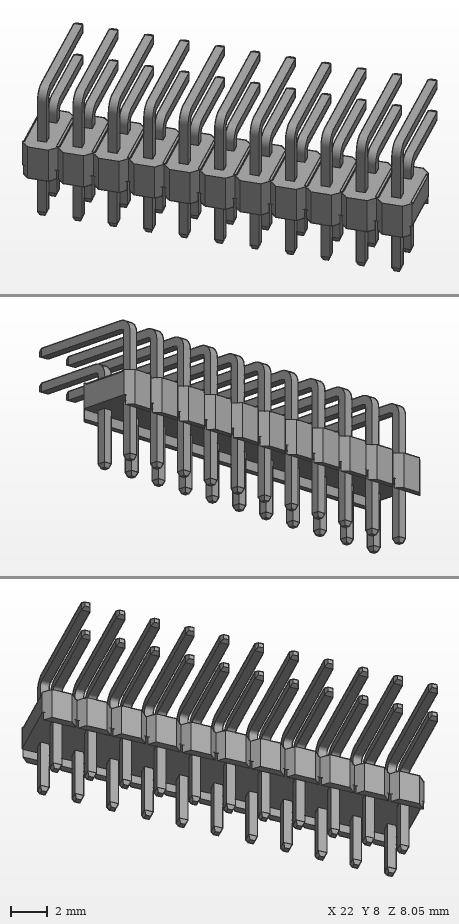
import cadquery as cq

column_count = 11
housing_length = 22.0
pitch = housing_length / column_count

housing_width = 2 * pitch
housing_height = pitch
corner_cut = 0.42
foot_width = 0.35
foot_height = 0.55

groove_depth = 0.1
groove_length = 3.0

pin_side = 0.5
bend_inner_radius = 0.25
tip_length = 0.26
tip_inset = 0.1
tail_length = 2.8
pin_reach = 2 * pitch
long_pin_rise = 3.25
short_pin_rise = long_pin_rise - pitch

pin_tip_y = housing_width / 2 + pin_reach
column_positions = [(i - (column_count - 1) / 2) * pitch for i in range(column_count)]
boundary_positions = [(i - column_count / 2) * pitch for i in range(column_count + 1)]


def make_housing():
    """Octagonal cells side by side, hollowed underneath so only the outer feet reach z = 0."""
    edge_x = housing_length / 2
    edge_y = housing_width / 2
    side = [(-edge_x, edge_y - corner_cut)]
    for x in column_positions:
        side.append((x - pitch / 2 + corner_cut, edge_y))
        side.append((x + pitch / 2 - corner_cut, edge_y))
        side.append((x + pitch / 2, edge_y - corner_cut))
    opposite_side = [(-x, -y) for x, y in side]
    cells = cq.Workplane("XY").polyline(side + opposite_side).close().extrude(housing_height)

    channel_width = housing_width - 2 * foot_width
    channel = cq.Workplane("XY").box(
        housing_length, channel_width, foot_height, centered=(True, True, False)
    )
    return cells.cut(channel)


def make_groove(x):
    """V-shaped cutter with sloped ends, running along Y at the given x."""
    floor = housing_height - groove_depth
    half_length = groove_length / 2
    vee = (
        cq.Workplane("XZ")
        .polyline([
            (x - groove_depth, housing_height),
            (x + groove_depth, housing_height),
            (x, floor),
        ])
        .close()
        .extrude(half_length, both=True)
    )
    end_slopes = (
        cq.Workplane("YZ", origin=(x, 0, 0))
        .polyline([
            (-half_length, housing_height),
            (half_length, housing_height),
            (half_length - groove_depth, floor),
            (groove_depth - half_length, floor),
        ])
        .close()
        .extrude(groove_depth, both=True)
    )
    return vee.intersect(end_slopes)


def make_tip(plane):
    """Tapered pin end, growing from the given plane along its normal."""
    end_side = pin_side - 2 * tip_inset
    return (
        cq.Workplane(plane)
        .rect(pin_side, pin_side)
        .workplane(offset=tip_length)
        .rect(end_side, end_side)
        .loft(combine=True)
    )


def make_pin(x, y, rise):
    """Square pin standing at (x, y), bent over toward +Y, tapered at both ends."""
    half_side = pin_side / 2
    axis_z = housing_height + rise - half_side
    bend_radius = bend_inner_radius + half_side
    shank_bottom = tip_length - tail_length
    arm_end = pin_tip_y - tip_length

    bottom_plane = cq.Plane(origin=(x, y, shank_bottom), xDir=(1, 0, 0), normal=(0, 0, -1))
    arm_plane = cq.Plane(origin=(x, arm_end, axis_z), xDir=(1, 0, 0), normal=(0, 1, 0))

    outer_radius = bend_radius + half_side
    diagonal = 0.5 ** 0.5
    center_y = y + bend_radius
    center_z = axis_z - bend_radius
    body = (
        cq.Workplane("YZ", origin=(x, 0, 0))
        .moveTo(y - half_side, shank_bottom)
        .lineTo(y - half_side, center_z)
        .threePointArc(
            (center_y - outer_radius * diagonal, center_z + outer_radius * diagonal),
            (center_y, axis_z + half_side),
        )
        .lineTo(arm_end, axis_z + half_side)
        .lineTo(arm_end, axis_z - half_side)
        .lineTo(center_y, axis_z - half_side)
        .threePointArc(
            (center_y - bend_inner_radius * diagonal, center_z + bend_inner_radius * diagonal),
            (y + half_side, center_z),
        )
        .lineTo(y + half_side, shank_bottom)
        .close()
        .extrude(half_side, both=True)
    )
    return body.union(make_tip(bottom_plane)).union(make_tip(arm_plane))


grooves = cq.Workplane("XY")
for boundary_x in boundary_positions:
    grooves = grooves.add(make_groove(boundary_x))

pins = cq.Workplane("XY")
for column_x in column_positions:
    pins = pins.add(make_pin(column_x, -pitch / 2, long_pin_rise))
    pins = pins.add(make_pin(column_x, pitch / 2, short_pin_rise))

result = make_housing().cut(grooves.combine()).union(pins.combine())